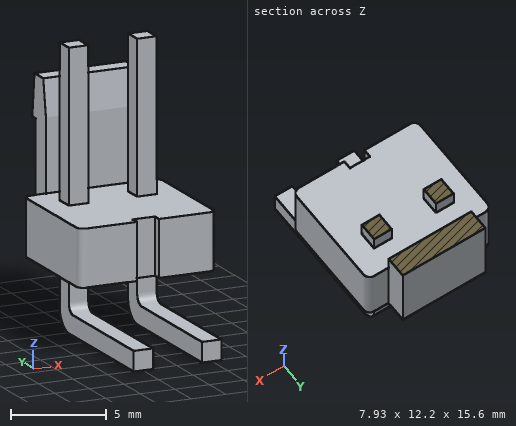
import cadquery as cq


body_width = 7.93
body_front = 3.63
body_depth = 6.88
body_bottom = 3.75
body_height = 3.22
body_corner_radius = 0.42
body_back = body_front + body_depth
notch_width = 1.28
notch_depth = 0.51

pin_pitch = 3.95
pin_size = 1.14
pin_height = 15.57
pin_front_face = 7.93
pin_back_face = pin_front_face + pin_size
bend_inner_radius = 0.55
bend_outer_radius = 1.14

latch_width = 5.3
latch_thickness = 1.31
latch_top = 13.15
latch_taper_start = 11.1
latch_top_front = body_back + 0.33
latch_top_back = body_back + 1.43
barb_bottom = 10.71
barb_tip = 12.2


def make_body():
    """Rounded block with a keying notch through its front face."""
    block = (
        cq.Workplane("XY")
        .box(body_width, body_depth, body_height, centered=(True, False, False))
        .edges("|Z")
        .fillet(body_corner_radius)
    )
    notch = cq.Workplane("XY").box(notch_width, notch_depth, body_height, centered=(True, False, False))
    return block.cut(notch).translate((0, body_front, body_bottom))


def extrude_side_profile(profile, width):
    """Extrude a YZ profile symmetrically about the X = 0 plane."""
    return profile.extrude(width / 2, both=True)


def make_latch():
    """Upright wall with a tapered head and a rear barb."""
    wall_back = body_back + latch_thickness
    profile = (
        cq.Workplane("YZ")
        .moveTo(body_back, body_bottom)
        .lineTo(body_back, latch_taper_start)
        .lineTo(latch_top_front, latch_top)
        .lineTo(latch_top_back, latch_top)
        .lineTo(barb_tip, barb_bottom)
        .lineTo(wall_back, barb_bottom)
        .lineTo(wall_back, body_bottom)
        .close()
    )
    return extrude_side_profile(profile, latch_width)


def make_pin():
    """L-shaped square pin with rounded inner and outer bends."""
    profile = (
        cq.Workplane("YZ")
        .moveTo(0, 0)
        .lineTo(pin_back_face - bend_outer_radius, 0)
        .radiusArc((pin_back_face, bend_outer_radius), -bend_outer_radius)
        .lineTo(pin_back_face, pin_height)
        .lineTo(pin_front_face, pin_height)
        .lineTo(pin_front_face, pin_size + bend_inner_radius)
        .radiusArc((pin_front_face - bend_inner_radius, pin_size), bend_inner_radius)
        .lineTo(0, pin_size)
        .close()
    )
    return extrude_side_profile(profile, pin_size)


result = make_body().union(make_latch())
for side in (-1, 1):
    result = result.union(make_pin().translate((side * pin_pitch / 2, 0, 0)))